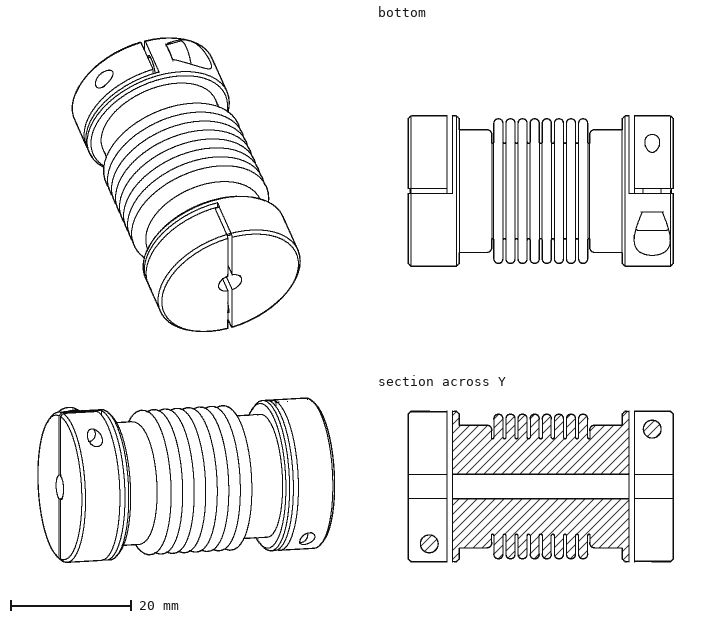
import cadquery as cq

length = 44.0

hub_radius = 12.5
hub_width = 8.5
hub_chamfer = 0.5
bore_radius = 2.02

boss_radius = 10.2
boss_end = 13.9
boss_fillet = 0.9

ridge_count = 8
ridge_pitch = 2.005
ridge_width = 1.55
ridge_radius = 12.0
valley_radius = 7.9
ridge_round = ridge_width / 2
valley_round = (ridge_pitch - ridge_width) / 2

split_width = 0.75
relief_start = 6.45
relief_width = 0.9
split_skin = 0.18

screw_x = 3.5
screw_z = 9.5
shank_radius = 1.5
shank_length = 8.0
clearance_radius = 1.8
thread_hole_radius = 1.25
seat_y = 3.5
counterbore_radius = 3.0
head_radius = 2.75
head_height = 3.0
head_fillet = 0.35


def cylinder_along_x(radius, start, end):
    return cq.Workplane("YZ").workplane(offset=start).circle(radius).extrude(end - start)


def cylinder_along_y(radius, start, end):
    """Cylinder on the clamp screw axis between two Y positions."""
    section = cq.Workplane("XZ", origin=(0, start, 0)).center(screw_x, screw_z).circle(radius)
    return section.extrude(start - end)


def box_between(low, high):
    size = [b - a for a, b in zip(low, high)]
    return cq.Workplane("XY").box(*size, centered=False).translate(low)


def make_clamp_screw():
    head = cylinder_along_y(head_radius, seat_y, seat_y + head_height)
    head = head.faces(">Y").edges().fillet(head_fillet)
    shank = cylinder_along_y(shank_radius, seat_y - shank_length, seat_y)
    return head.union(shank)


def make_hub():
    """Left hub and its boss, with the clamp split open toward +Z."""
    disc = cylinder_along_x(hub_radius, 0, hub_width).edges().chamfer(hub_chamfer)
    boss = cylinder_along_x(boss_radius, hub_width, boss_end).faces(">X").edges().fillet(boss_fillet)
    hub = disc.union(boss).cut(cylinder_along_x(bore_radius, 0, boss_end))

    half_split = split_width / 2
    relief_end = relief_start + relief_width
    split = box_between((0, -half_split, split_skin - hub_radius), (relief_end, half_split, hub_radius))
    relief = box_between((relief_start, -hub_radius, -hub_radius), (relief_end, half_split, hub_radius))

    counterbore = cylinder_along_y(counterbore_radius, seat_y, hub_radius)
    clearance_hole = cylinder_along_y(clearance_radius, 0, seat_y)
    thread_hole = cylinder_along_y(thread_hole_radius, -hub_radius, 0)

    for opening in (split, relief, counterbore, clearance_hole, thread_hole):
        hub = hub.cut(opening)
    return hub.union(make_clamp_screw())


def make_bellows():
    """Row of full-round ridges with round valleys, revolved about X."""
    wall_top = ridge_radius - ridge_round
    wall_foot = valley_radius + valley_round
    first_center = length / 2 - (ridge_count - 1) / 2 * ridge_pitch
    far_end = length - boss_end

    profile = cq.Workplane("XY").moveTo(boss_end, bore_radius).lineTo(boss_end, valley_radius)
    for index in range(ridge_count):
        center = first_center + index * ridge_pitch
        left_wall = center - ridge_width / 2
        right_wall = center + ridge_width / 2
        if index == 0:
            profile = profile.lineTo(left_wall - valley_round, valley_radius)
        profile = profile.tangentArcPoint((left_wall, wall_foot), relative=False)
        profile = profile.lineTo(left_wall, wall_top)
        profile = profile.threePointArc((center, ridge_radius), (right_wall, wall_top))
        profile = profile.lineTo(right_wall, wall_foot)
        profile = profile.tangentArcPoint((right_wall + valley_round, valley_radius), relative=False)
    profile = profile.lineTo(far_end, valley_radius).lineTo(far_end, bore_radius).close()
    return profile.revolve(360, (0, 0, 0), (1, 0, 0))


left_hub = make_hub()
right_hub = left_hub.rotate((length / 2, 0, 0), (length / 2, 1, 0), 180)
result = left_hub.union(make_bellows()).union(right_hub)